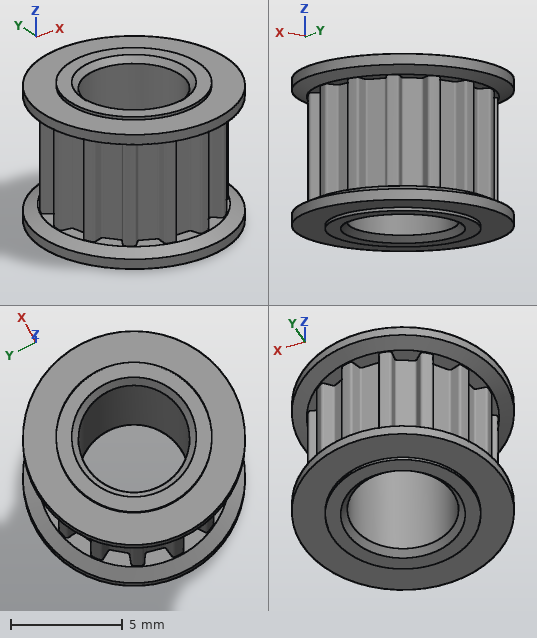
import cadquery as cq
import math

total_height = 7.05
hub_radius = 3.5
bore_radius = 2.5
bore_chamfer = 0.3
hub_lip = 0.15

flange_radius = 5.0
flange_rim_height = 0.5
flange_cone_height = 0.3
flange_inner_radius = 4.33

tooth_count = 14
tip_radius = 4.28
groove_depth = 0.61
groove_floor_width = 0.93
flank_angle = 20.0
root_fillet = 0.11
tip_fillet = 0.13

half_height = total_height / 2
flange_outer_z = half_height - hub_lip
flange_cone_z = flange_outer_z - flange_rim_height
flange_inner_z = flange_cone_z - flange_cone_height
floor_radius = tip_radius - groove_depth
pitch_angle = 360.0 / tooth_count


def groove_cutter():
    """Trapezoidal groove with rounded root, running along Z on the -Y side."""
    overshoot = 0.2
    outer_y = tip_radius + overshoot
    floor_half = groove_floor_width / 2
    outer_half = floor_half + (outer_y - floor_radius) * math.tan(math.radians(flank_angle))
    return (
        cq.Workplane("XY")
        .workplane(offset=-flange_inner_z)
        .polyline([
            (-floor_half, -floor_radius),
            (floor_half, -floor_radius),
            (outer_half, -outer_y),
            (-outer_half, -outer_y),
        ])
        .close()
        .extrude(2 * flange_inner_z)
        .edges("|Z and >Y")
        .fillet(root_fillet)
    )


def toothed_body():
    """Toothed cylinder between the flanges, a groove centred on -Y."""
    body = cq.Workplane("XY").circle(tip_radius).extrude(flange_inner_z, both=True)
    cutter = groove_cutter()
    for i in range(tooth_count):
        body = body.cut(cutter.rotate((0, 0, 0), (0, 0, 1), i * pitch_angle))

    selection_margin = 0.01
    tip_edges = body.edges("|Z").filter(
        lambda edge: math.hypot(edge.Center().x, edge.Center().y) > tip_radius - selection_margin
    )
    return tip_edges.fillet(tip_fillet)


def upper_flange():
    """Flange with a coned inner side, and the hub lip above it."""
    return (
        cq.Workplane("XZ")
        .polyline([
            (0, flange_inner_z),
            (flange_inner_radius, flange_inner_z),
            (flange_radius, flange_cone_z),
            (flange_radius, flange_outer_z),
            (hub_radius, flange_outer_z),
            (hub_radius, half_height),
            (0, half_height),
        ])
        .close()
        .revolve(360, (0, 0, 0), (0, 1, 0))
    )


def bore():
    """Through bore, chamfered at both ends."""
    mouth_radius = bore_radius + bore_chamfer
    chamfer_z = half_height - bore_chamfer
    return (
        cq.Workplane("XZ")
        .polyline([
            (0, -half_height),
            (mouth_radius, -half_height),
            (bore_radius, -chamfer_z),
            (bore_radius, chamfer_z),
            (mouth_radius, half_height),
            (0, half_height),
        ])
        .close()
        .revolve(360, (0, 0, 0), (0, 1, 0))
    )


flange = upper_flange()
result = toothed_body().union(flange).union(flange.mirror("XY")).cut(bore())